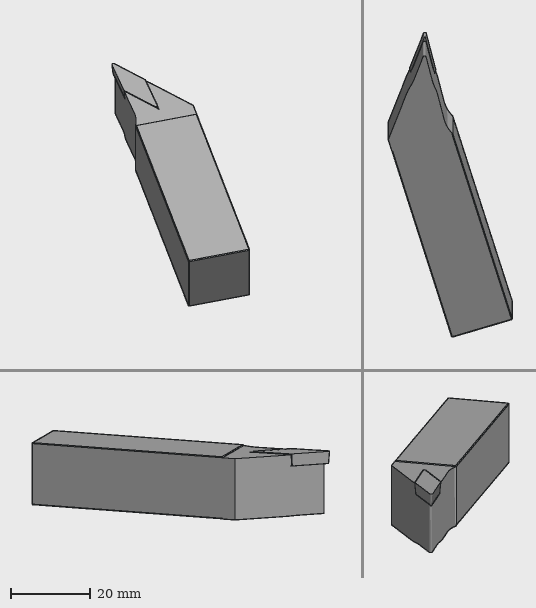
import cadquery as cq
import math

total_length = 74.15
bar_size = 16.0
shank_start = 23.05
edge_chamfer = 0.2
shank_length = total_length - shank_start
head_height = bar_size - edge_chamfer

lead_angle = 3.0
nose_angle = 35.0
insert_side = 11.05
insert_thickness = 3.2
clearance_angle = 5.0
nose_radius = 0.4

relief_depth = 0.415
blend_middle = 11.0
blend_half_length = 2.1
lower_wall_end = 19.5

lower_angle = math.radians(lead_angle)
upper_angle = math.radians(lead_angle + nose_angle)
half_nose = math.radians(nose_angle / 2)
bisector_angle = (lower_angle + upper_angle) / 2
apex_to_nose_centre = nose_radius / math.sin(half_nose)
apex_x = nose_radius - apex_to_nose_centre * math.cos(bisector_angle)
apex_y = nose_radius - apex_to_nose_centre * math.sin(bisector_angle)


def lower_point(along, inward=0.0):
    """Point measured from the apex along the lower edge and inwards from it."""
    x = apex_x + along * math.cos(lower_angle) - inward * math.sin(lower_angle)
    y = apex_y + along * math.sin(lower_angle) + inward * math.cos(lower_angle)
    return (x, y)


def upper_point(along, inward=0.0):
    """Point measured from the apex along the upper edge and inwards from it."""
    x = apex_x + along * math.cos(upper_angle) + inward * math.sin(upper_angle)
    y = apex_y + along * math.sin(upper_angle) - inward * math.cos(upper_angle)
    return (x, y)


def bisector_point(distance):
    """Point on the line that halves the nose angle, measured from the apex."""
    x = apex_x + distance * math.cos(bisector_angle)
    y = apex_y + distance * math.sin(bisector_angle)
    return (x, y)


def opposite(point):
    """Point turned half a turn about the centre of the insert."""
    lower_corner = lower_point(insert_side)
    upper_corner = upper_point(insert_side)
    return (
        lower_corner[0] + upper_corner[0] - point[0],
        lower_corner[1] + upper_corner[1] - point[1],
    )


def taper_down(outline):
    """Extrude an outline at the insert top down to its floor, shrinking on the way."""
    return outline.close().extrude(-insert_thickness, taper=clearance_angle)


def make_pocket_tool():
    """Sharp-cornered insert shape that is cut from the head."""
    apex = (apex_x, apex_y)
    corners = [apex, lower_point(insert_side), opposite(apex), upper_point(insert_side)]
    return taper_down(cq.Workplane("XY", origin=(0, 0, bar_size)).polyline(corners))


def make_insert():
    """Rhombic insert whose two acute corners are rounded and shrink with the taper."""
    tangent_length = nose_radius / math.tan(half_nose)
    lower_tangent = lower_point(tangent_length)
    upper_tangent = upper_point(tangent_length)
    tip_distance = apex_to_nose_centre - nose_radius
    nose_tip = bisector_point(tip_distance)
    outline = (
        cq.Workplane("XY", origin=(0, 0, bar_size))
        .moveTo(*upper_tangent)
        .threePointArc(nose_tip, lower_tangent)
        .lineTo(*lower_point(insert_side))
        .lineTo(*opposite(upper_tangent))
        .threePointArc(opposite(nose_tip), opposite(lower_tangent))
        .lineTo(*upper_point(insert_side))
    )
    return taper_down(outline)


def make_shank():
    """Square bar with chamfered long edges, rear end and upper front edge."""
    bar = cq.Workplane("XY").box(shank_length, bar_size, bar_size, centered=False)
    bar = bar.translate((shank_start, 0, 0))
    front_top_edge = cq.selectors.BoxSelector(
        (shank_start - edge_chamfer, 0, bar_size - edge_chamfer),
        (shank_start + edge_chamfer, bar_size, bar_size + edge_chamfer),
    )
    return bar.edges("|X or >X").add(bar.edges(front_top_edge)).chamfer(edge_chamfer)


def make_head():
    """Pointed head whose walls are relieved under the insert."""
    blend_start = blend_middle - blend_half_length
    blend_end = blend_middle + blend_half_length
    half_relief = relief_depth / 2
    relief_apex = relief_depth / math.tan(half_nose)
    nose_tangent = relief_apex + nose_radius / math.tan(half_nose)
    tip_distance = apex_to_nose_centre + relief_depth / math.sin(half_nose) - nose_radius
    nose_tip = bisector_point(tip_distance)
    upper_wall_end = (bar_size - apex_y) / math.sin(upper_angle)
    return (
        cq.Workplane("XY")
        .moveTo(*upper_point(nose_tangent, relief_depth))
        .threePointArc(nose_tip, lower_point(nose_tangent, relief_depth))
        .lineTo(*lower_point(blend_start, relief_depth))
        .tangentArcPoint(lower_point(blend_middle, half_relief), relative=False)
        .tangentArcPoint(lower_point(blend_end), relative=False)
        .lineTo(*lower_point(lower_wall_end))
        .tangentArcPoint((shank_start, 0), relative=False)
        .lineTo(shank_start, bar_size)
        .lineTo(*upper_point(upper_wall_end))
        .lineTo(*upper_point(blend_end))
        .tangentArcPoint(upper_point(blend_middle, half_relief), relative=False)
        .tangentArcPoint(upper_point(blend_start, relief_depth), relative=False)
        .close()
        .extrude(head_height)
    )


def make_holder():
    """Shank and head in one piece, with a sharp-cornered pocket for the insert."""
    return make_shank().union(make_head()).cut(make_pocket_tool())


holder = make_holder()
insert = make_insert()
result = cq.Compound.makeCompound([holder.val(), insert.val()])